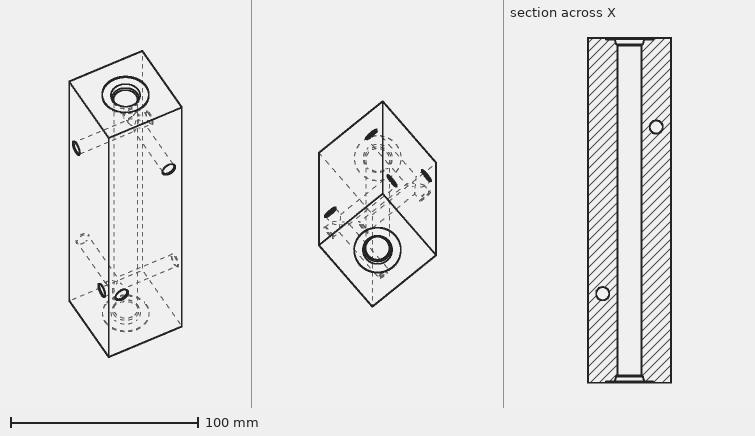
import cadquery as cq

bar_width = 44.45
bar_length = 184.15
half_width = bar_width / 2
half_length = bar_length / 2

recess_diameter = 24.9
recess_depth = 0.8
port_mouth_diameter = 15.6
port_throat_diameter = 14.3
port_depth = 2.5
bore_diameter = 12.7
throat_chamfer = (port_throat_diameter - bore_diameter) / 2

cross_hole_diameter = 6.9
cross_hole_chamfer = 0.5
cross_hole_offset = 14.2875
cross_hole_height = 44.45

front_face = cq.Plane(origin=(0, -half_width, 0), xDir=(1, 0, 0), normal=(0, -1, 0))
side_face = cq.Plane(origin=(-half_width, 0, 0), xDir=(0, -1, 0), normal=(-1, 0, 0))


def axial_bore():
    """Bore along the full bar, opening at each end through a 45 degree chamfer into a tapered port
    and a shallow recess."""
    recess_floor = half_length - recess_depth
    throat_level = recess_floor - port_depth
    half_profile = [
        (0, 0),
        (bore_diameter / 2, 0),
        (bore_diameter / 2, throat_level - throat_chamfer),
        (port_throat_diameter / 2, throat_level),
        (port_mouth_diameter / 2, recess_floor),
        (recess_diameter / 2, recess_floor),
        (recess_diameter / 2, half_length),
        (0, half_length),
    ]
    upper_half = cq.Workplane("XZ").polyline(half_profile).close().revolve(360, (0, 0), (0, 1))
    return upper_half.union(upper_half.mirror("XY"))


def cross_hole(face, x, z):
    """One hole through the bar from the given side face, chamfered at both mouths."""
    radius = cross_hole_diameter / 2
    mouth_radius = radius + cross_hole_chamfer
    half_profile = [
        (0, 0),
        (mouth_radius, 0),
        (radius, -cross_hole_chamfer),
        (radius, cross_hole_chamfer - bar_width),
        (mouth_radius, -bar_width),
        (0, -bar_width),
    ]
    section = cq.Plane(
        origin=face.toWorldCoords((x, z, 0)),
        xDir=face.xDir,
        normal=face.xDir.cross(face.zDir),
    )
    return cq.Workplane(section).polyline(half_profile).close().revolve(360, (0, 0), (0, 1))


result = cq.Workplane("XY").box(bar_width, bar_width, bar_length)
result = result.cut(axial_bore())
for face in (front_face, side_face):
    for side in (-1, 1):
        result = result.cut(cross_hole(face, side * cross_hole_offset, -side * cross_hole_height))